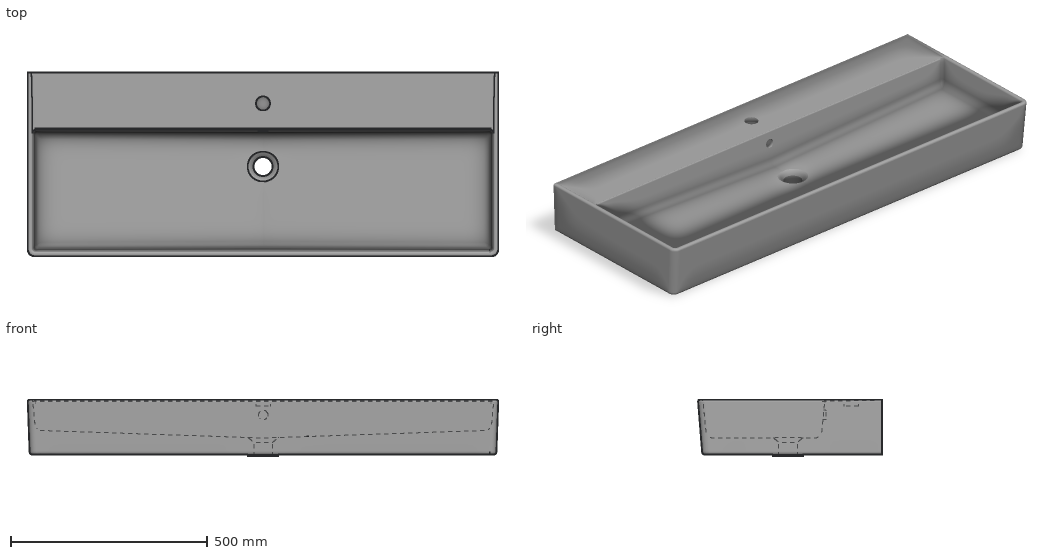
import cadquery as cq
import math

length = 1199.0
width = 469.0
height = 144.0

boss_height = 4.0
side_draft = 5.0
front_draft = 11.0
front_corner_radius = 18.0
bottom_edge_radius = 8.0

rim_thickness = 12.0
rim_edge_radius = 5.4
rim_cut_depth = 8.0
deck_width = 146.0
deck_drop_back = 0.6
deck_drop_front = 4.0
deck_base_depth = 18.0
deck_edge_radius = 5.0

wall_taper = 5.5
basin_depth_ends = 77.0
basin_depth_middle = 97.0
basin_corner_radius = 7.0
basin_floor_radius = 18.0

faucet_y = -79.0
faucet_diameter = 36.0
faucet_depth = 13.0
overflow_diameter = 24.0
overflow_drop = 38.0
overflow_depth = 7.0
drain_y = -240.0
drain_diameter = 48.0
drain_rim_diameter = 78.0
drain_cone_depth = 12.0
drain_seat_rise = 1.0

margin = 1.0

half_length = length / 2
half_opening = half_length - rim_thickness
opening_front = -width + rim_thickness
wall_slope = math.tan(math.radians(wall_taper))


def make_body():
    """Drafted block with a vertical back, rounded at the front, the bottom and the rim."""
    body_height = height - boss_height
    bottom_length = length - 2 * side_draft
    bottom_width = width - front_draft
    top_length = length + 2 * rim_edge_radius * side_draft / body_height
    top_width = width + rim_edge_radius * front_draft / body_height
    body = (
        cq.Workplane("XY", origin=(0, -bottom_width / 2, boss_height))
        .rect(bottom_length, bottom_width)
        .workplane(offset=body_height)
        .center(0, (bottom_width - top_width) / 2)
        .rect(top_length, top_width)
        .loft(ruled=True)
    )
    front_half = cq.selectors.BoxSelector((-length, -2 * width, 0), (length, -width / 2, 2 * height))
    body = body.edges(front_half).edges("not #Z").fillet(front_corner_radius)
    body = body.faces("<Z").edges("not >Y").fillet(bottom_edge_radius)
    return body.faces(">Z").edges("not >Y").fillet(rim_edge_radius)


def tapered_block(back_y, depth):
    """Block narrowing downward from the rim opening, with its back wall starting at back_y."""
    return (
        cq.Workplane("XY", origin=(0, (back_y + opening_front) / 2, height))
        .rect(2 * half_opening, back_y - opening_front)
        .extrude(-depth, taper=wall_taper)
    )


def open_rim(body):
    """Shallow cut that runs out through the back and leaves a rounded rim on three sides."""
    opening = tapered_block(rim_thickness, rim_cut_depth)
    opening = opening.edges("not #Z").fillet(basin_corner_radius)
    inner_rim = cq.selectors.BoxSelector(
        (-half_opening - margin, opening_front - margin, height - margin),
        (half_opening + margin, -margin, height + margin),
    )
    return body.cut(opening).edges(inner_rim).fillet(rim_edge_radius)


def make_deck():
    """Deck slab that falls slightly toward the basin; its ends are buried in the rim."""
    deck_reach = deck_width + rim_cut_depth * wall_slope + basin_corner_radius
    profile = [
        (0, height - deck_drop_back),
        (-deck_reach, height - deck_drop_front),
        (-deck_reach, height - deck_base_depth),
        (0, height - deck_base_depth),
    ]
    half_slab = half_length - rim_thickness / 2
    return cq.Workplane("YZ").polyline(profile).close().extrude(half_slab, both=True)


def make_basin():
    """Tapered bowl whose floor falls from both ends to the middle."""
    floor_profile = [
        (-half_length, height),
        (-half_length, height - basin_depth_ends),
        (0, height - basin_depth_middle),
        (half_length, height - basin_depth_ends),
        (half_length, height),
    ]
    above_floor = cq.Workplane("XZ").polyline(floor_profile).close().extrude(width)
    bowl = tapered_block(-deck_width, basin_depth_middle + margin).intersect(above_floor)
    bowl = bowl.faces("<Z").edges("not <Z").fillet(basin_floor_radius)
    wall_zone = cq.selectors.BoxSelector(
        (-length, -width, height - basin_depth_ends + basin_floor_radius),
        (length, 0, height - margin),
    )
    return bowl.edges(wall_zone).fillet(basin_corner_radius)


def make_deck_edge_cut():
    """Sliver that rounds the front edge of the deck between the two basin corners."""
    edge_height = height - deck_drop_front
    base_height = height - deck_base_depth
    profile = [
        (0, edge_height),
        (-deck_width - deck_drop_front * wall_slope, edge_height),
        (-deck_width - deck_base_depth * wall_slope, base_height),
        (0, base_height),
    ]
    half_edge = half_opening - basin_corner_radius
    sharp = cq.Workplane("YZ").polyline(profile).close().extrude(half_edge, both=True)
    rounded = sharp.faces("<Y").edges(">Z").fillet(deck_edge_radius)
    return sharp.cut(rounded)


def make_boss():
    """Low round foot around the drain outlet, sunk into the body above it."""
    boss = cq.Workplane("XY", origin=(0, drain_y, 0)).circle(drain_rim_diameter / 2)
    return boss.extrude(2 * boss_height)


def make_drain():
    """Conical drain seat with a straight hole through the floor and the boss."""
    seat_top = height - basin_depth_middle + drain_seat_rise
    profile = [
        (0, 0),
        (drain_diameter / 2, 0),
        (drain_diameter / 2, seat_top - drain_cone_depth),
        (drain_rim_diameter / 2, seat_top),
        (drain_rim_diameter / 2, height),
        (0, height),
    ]
    section = cq.Workplane("XZ", origin=(0, drain_y, 0)).polyline(profile).close()
    return section.revolve(360, (0, 0), (0, 1))


def make_faucet_hole():
    """Blind round recess in the deck."""
    floor_drop = deck_drop_front / 2 + faucet_depth
    hole = cq.Workplane("XY", origin=(0, faucet_y, height)).circle(faucet_diameter / 2)
    return hole.extrude(-floor_drop)


def make_overflow():
    """Blind overflow recess in the back wall of the basin."""
    wall_y = -deck_width - overflow_drop * wall_slope
    hole = cq.Workplane("XZ", origin=(0, wall_y + overflow_depth, height - overflow_drop))
    return hole.circle(overflow_diameter / 2).extrude(2 * overflow_depth)


rimmed_body = open_rim(make_body()).union(make_deck())
washbasin = rimmed_body.cut(make_basin()).cut(make_deck_edge_cut()).union(make_boss())
result = washbasin.cut(make_drain()).cut(make_faucet_hole()).cut(make_overflow())